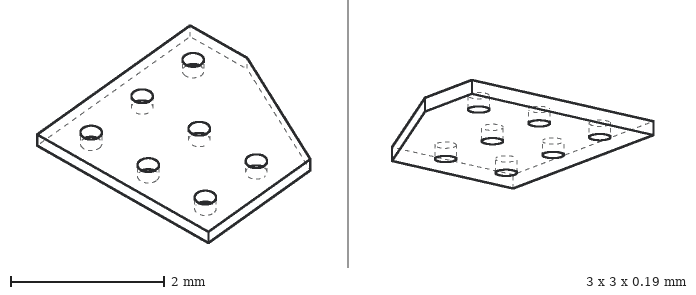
import cadquery as cq

pitch = 1.0
cells = 3
thickness = 0.19
hole_diameter = 0.28

side = cells * pitch
slope_start = (pitch, side)
slope_end = (side, side - pitch)


def make_plate():
    """Square plate with its +X +Y corner cut off by a sloped edge."""
    outline = [(0, 0), (side, 0), slope_end, slope_start, (0, side)]
    return cq.Workplane("XY").polyline(outline).close().extrude(thickness)


def hole_centres():
    """Cell centres: full rows of holes, except one hole in the narrowed back row."""
    centres = []
    for row in range(cells):
        holes_in_row = 1 if row == cells - 1 else cells
        for column in range(holes_in_row):
            centres.append(((column + 0.5) * pitch, (row + 0.5) * pitch))
    return centres


def drill_holes(plate):
    """Drill the through holes from the top of the plate."""
    drill = (
        cq.Workplane("XY")
        .pushPoints(hole_centres())
        .circle(hole_diameter / 2)
        .extrude(thickness)
    )
    return plate.cut(drill)


result = drill_holes(make_plate())